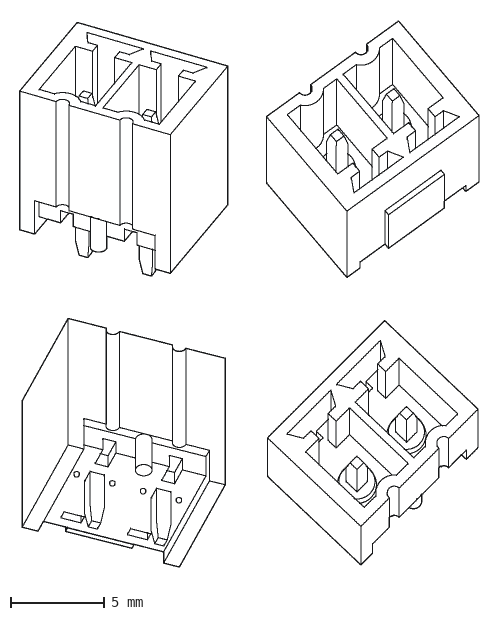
import cadquery as cq


HOUSING_WIDTH = 9.02
HOUSING_DEPTH = 7.0
HOUSING_HEIGHT = 9.2
WALL = 0.6

TAB_WIDTH = 3.81
TAB_THICKNESS = 0.31
TAB_HEIGHT = 4.66
TAB_DROP = 3.75
TAB_TOP = HOUSING_HEIGHT - TAB_DROP

PITCH = 3.81
CONTACT_CENTRE_X = -0.04
CONTACT_XS = [CONTACT_CENTRE_X - PITCH / 2, CONTACT_CENTRE_X + PITCH / 2]
CONTACT_Y = 2.8

LEG_WIDTH = 0.91
FLOOR_BOTTOM = 0.81
FRONT_OPENING_TOP = 2.22
FLOOR_SETBACK = 0.53
FLOOR_TOP = FRONT_OPENING_TOP + WALL
CHANNEL_WIDTH = HOUSING_WIDTH - 2 * LEG_WIDTH

NOTCH_WIDTH = 0.74
NOTCH_HEIGHT = 0.81
NOTCH_DEPTH = 1.18

PEG_DIAMETER = 0.9
BUMP_DIAMETER = 0.3
BUMP_HEIGHT = 0.21
BUMP_OFFSET = 1.03

CAVITY_WIDTH = 3.37
CHAMBER_BACK = 4.99
NECK_WIDTH = 1.32
NECK_BACK = 5.59
KEYWAY_WIDTH = 2.48
CAVITY_BACK = HOUSING_DEPTH - WALL

WINDOW_WIDTH = 1.16
WINDOW_DEPTH = 0.51

GROOVE_RADIUS = 0.38
RIB_RADIUS = 0.99

BOSS_BASE_DIAMETER = 2.1
BOSS_TOP_DIAMETER = 1.94
BOSS_HEIGHT = 0.71

PIN_WIDTH = 0.81
PIN_TIP_WIDTH = 0.52
PIN_TAPER = 1.01
OVERALL_HEIGHT = 11.8
PIN_RECESS = 1.24
PIN_BOTTOM = HOUSING_HEIGHT - OVERALL_HEIGHT
PIN_TOP = HOUSING_HEIGHT - PIN_RECESS


def block(width, y_front, y_back, z_low, z_high, x=0):
    """Box centred on x, between the given Y and Z limits."""
    box = cq.Workplane("XY").box(width, y_back - y_front, z_high - z_low, centered=(True, False, False))
    return box.translate((x, y_front, z_low))


def column(radius, x, y, z_low, z_high):
    """Upright cylinder on the axis (x, y)."""
    return cq.Workplane("XY", origin=(x, y, z_low)).circle(radius).extrude(z_high - z_low)


def make_cavity(x):
    """Keyed chamber for one contact, open at the top."""
    right_side = [
        (CAVITY_WIDTH / 2, WALL),
        (CAVITY_WIDTH / 2, CHAMBER_BACK),
        (NECK_WIDTH / 2, CHAMBER_BACK),
        (NECK_WIDTH / 2, NECK_BACK),
        (KEYWAY_WIDTH / 2, NECK_BACK),
        (CAVITY_WIDTH / 2, CAVITY_BACK),
    ]
    left_side = [(-px, py) for px, py in reversed(right_side)]
    cavity = (
        cq.Workplane("XY", origin=(x, 0, FLOOR_TOP))
        .polyline(right_side + left_side)
        .close()
        .extrude(HOUSING_HEIGHT - FLOOR_TOP)
    )
    rib = column(RIB_RADIUS, x, 0, FLOOR_TOP, HOUSING_HEIGHT)
    return cavity.cut(rib)


def make_boss(x):
    """Tapered round boss on the cavity floor."""
    return (
        cq.Workplane("XY", origin=(x, CONTACT_Y, FLOOR_TOP))
        .circle(BOSS_BASE_DIAMETER / 2)
        .workplane(offset=BOSS_HEIGHT)
        .circle(BOSS_TOP_DIAMETER / 2)
        .loft(ruled=True)
    )


def make_bump(x):
    """Round-ended standoff bump under the floor."""
    radius = BUMP_DIAMETER / 2
    return (
        cq.Workplane("XZ", origin=(x, CONTACT_Y, FLOOR_BOTTOM))
        .lineTo(radius, 0)
        .lineTo(radius, radius - BUMP_HEIGHT)
        .radiusArc((0, -BUMP_HEIGHT), radius)
        .close()
        .revolve(360, (0, 0), (0, 1))
    )


def make_pin(x):
    """Square pin, tapered at both ends."""
    shank_bottom = PIN_BOTTOM + PIN_TAPER
    shank_top = PIN_TOP - PIN_TAPER
    pin = block(PIN_WIDTH, CONTACT_Y - PIN_WIDTH / 2, CONTACT_Y + PIN_WIDTH / 2, shank_bottom, shank_top, x)
    for shank_end, taper in [(shank_top, PIN_TAPER), (shank_bottom, -PIN_TAPER)]:
        tip = (
            cq.Workplane("XY", origin=(x, CONTACT_Y, shank_end))
            .rect(PIN_WIDTH, PIN_WIDTH)
            .workplane(offset=taper)
            .rect(PIN_TIP_WIDTH, PIN_TIP_WIDTH)
            .loft(ruled=True)
        )
        pin = pin.union(tip)
    return pin


def make_housing(pins):
    """Shrouded housing with one keyed cavity and one pin hole per contact."""
    body = block(HOUSING_WIDTH, 0, HOUSING_DEPTH, 0, HOUSING_HEIGHT)
    tab_back = HOUSING_DEPTH + TAB_THICKNESS
    body = body.union(block(TAB_WIDTH, HOUSING_DEPTH, tab_back, TAB_TOP - TAB_HEIGHT, TAB_TOP))
    body = body.cut(block(CHANNEL_WIDTH, 0, HOUSING_DEPTH, 0, FLOOR_BOTTOM))
    body = body.cut(block(CHANNEL_WIDTH, 0, FLOOR_SETBACK, 0, FRONT_OPENING_TOP))
    body = body.union(column(PEG_DIAMETER / 2, 0, PEG_DIAMETER / 2, 0, FRONT_OPENING_TOP))
    for x, pin in zip(CONTACT_XS, pins):
        body = body.cut(make_cavity(x))
        body = body.cut(column(GROOVE_RADIUS, x, 0, 0, HOUSING_HEIGHT))
        body = body.cut(block(WINDOW_WIDTH, CAVITY_BACK - WINDOW_DEPTH, CAVITY_BACK, 0, FLOOR_TOP, x))
        notch_top = FLOOR_BOTTOM + NOTCH_HEIGHT
        notch_back = FLOOR_SETBACK + NOTCH_DEPTH
        body = body.cut(block(NOTCH_WIDTH, FLOOR_SETBACK, notch_back, FLOOR_BOTTOM, notch_top, x))
        body = body.union(make_boss(x))
        for side in (-1, 1):
            body = body.union(make_bump(x + side * BUMP_OFFSET))
        body = body.cut(pin)
    return body


pins = [make_pin(x) for x in CONTACT_XS]
housing = make_housing(pins)

result = cq.Compound.makeCompound([housing.val(), *[pin.val() for pin in pins]])